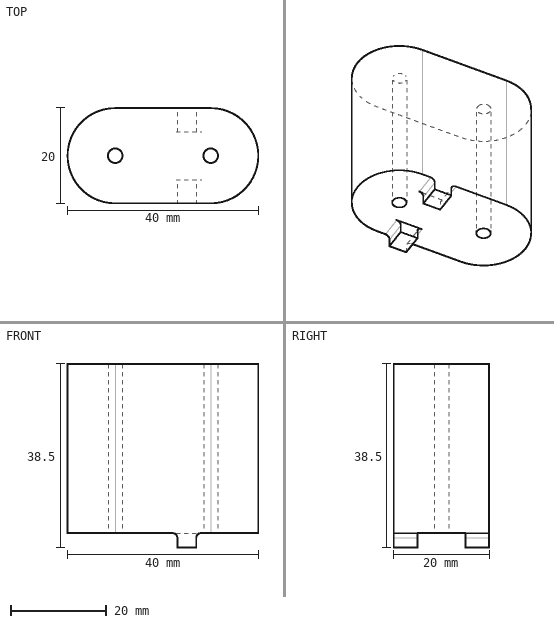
import cadquery as cq

length = 40.0
width = 20.0
total_height = 38.45

tab_height = 3.0
tab_length = 4.0
tab_depth = width / 4
tab_center_x = 5.0
tab_fillet = 1.0

hole_diameter = 3.0

body_height = total_height - tab_height
end_spacing = length - width


def make_body():
    """Upright block with full-round ends, its underside at Z = 0."""
    return cq.Workplane("XY").slot2D(length, width).extrude(body_height)


def make_tab(start_y):
    """Tab hanging from the underside, flared by a fillet on each X side."""
    half_root = tab_length / 2 + tab_fillet
    half_tip = tab_length / 2
    return (
        cq.Workplane("XZ", origin=(tab_center_x, start_y + tab_depth, 0))
        .moveTo(-half_root, 0)
        .radiusArc((-half_tip, -tab_fillet), tab_fillet)
        .lineTo(-half_tip, -tab_height)
        .lineTo(half_tip, -tab_height)
        .lineTo(half_tip, -tab_fillet)
        .radiusArc((half_root, 0), tab_fillet)
        .close()
        .extrude(tab_depth)
    )


result = make_body()

for tab_start_y in (-width / 2, width / 2 - tab_depth):
    result = result.union(make_tab(tab_start_y))

holes = (
    cq.Workplane("XY")
    .pushPoints([(-end_spacing / 2, 0), (end_spacing / 2, 0)])
    .circle(hole_diameter / 2)
    .extrude(body_height)
)
result = result.cut(holes)